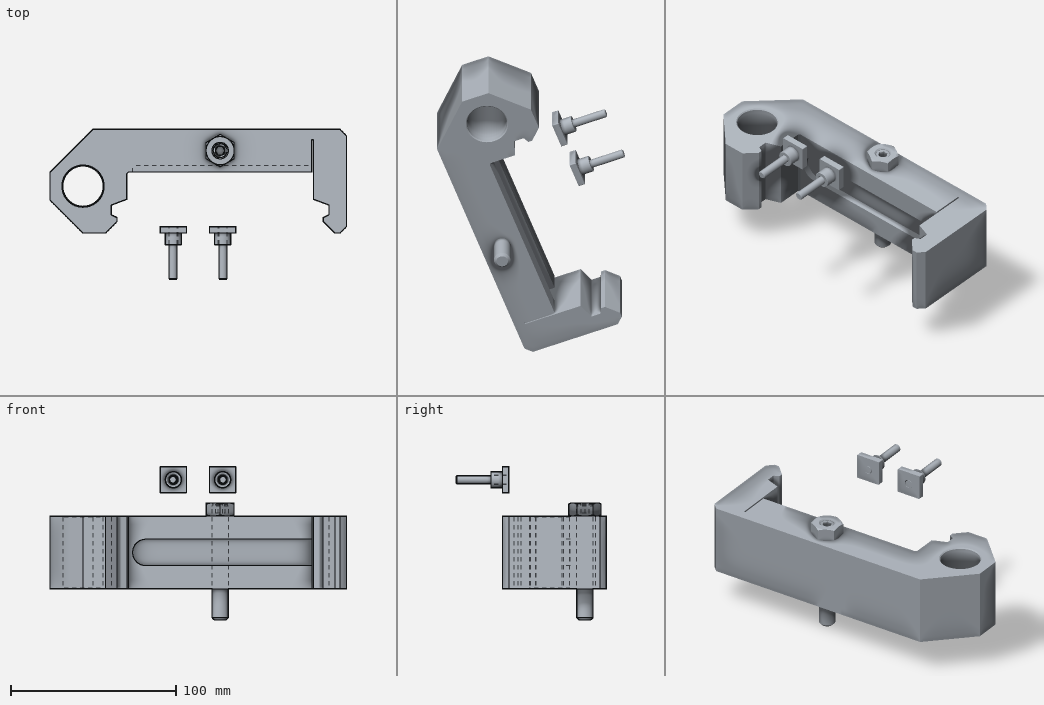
import cadquery as cq
import math


frame_length = 179.5
frame_depth = 63.0
frame_height = 44.0
mid_z = frame_height / 2
arm_depth = 26.0
left_back_chamfer = 26.0
left_front_chamfer = 20.0
right_chamfer = 4.0
inner_corner_chamfer = 1.0

opening_mid_x = 103.0
opening_half = 56.5
recess_half = 65.8
lip_half = 62.4
toe_half = 69.4
shoulder_y = -42.5
recess_back_y = -46.0
recess_front_y = -51.8
lip_back_y = -53.5
lip_front_y = -frame_depth + (toe_half - lip_half)

slit_width = 1.0
slit_end_y = -6.5
arm_end_x = opening_mid_x + opening_half - slit_width

bore_x = 20.0
bore_y = -(left_back_chamfer + frame_depth - left_front_chamfer) / 2
bore_diameter = 24.38
bore_chamfer = 0.6

slot_start_x = 50.0
slot_width = 16.0
slot_depth = 4.0

hexagon_half_angle = 30.0

screw_x = opening_mid_x
screw_y = -arm_depth / 2
screw_diameter = 10.0
screw_length = 70.0
screw_bottom_z = -19.0
screw_point_diameter = 7.0
socket_across_flats = 5.0
socket_depth = 5.0
socket_mouth_diameter = 5.8
thread_minor_diameter = 8.38
nut_across_flats = 17.0
nut_height = 8.0
nut_countersink_diameter = screw_diameter
nut_cone_angle = 30.0

tee_middle_x = 89.6
tee_spacing = 29.8
tee_z = 66.0
tee_head_size = 16.0
tee_head_thickness = 4.0
tee_head_back_y = -59.0
tee_corner_radius = 0.5
tee_boss_diameter = 9.9
tee_boss_length = 7.0
tee_boss_chamfer = 0.2
tee_hole_diameter = 5.5
pin_diameter = 5.0
pin_offset = (tee_hole_diameter - pin_diameter) / 2
pin_end_y = -91.0
pin_chamfer = 0.5


def hexagon_across_corners(across_flats):
    return across_flats / math.cos(math.radians(hexagon_half_angle))


def opening_side(side):
    """Points of one side of the opening, from the arm to the toe; side is -1 (left) or 1 (right)."""
    offsets = [
        (opening_half, shoulder_y),
        (recess_half, recess_back_y),
        (recess_half, recess_front_y),
        (lip_half, lip_back_y),
        (lip_half, lip_front_y),
        (toe_half, -frame_depth),
    ]
    return [(opening_mid_x + side * half, y) for half, y in offsets]


def make_frame():
    inner_left_x = opening_mid_x - opening_half
    inner_right_x = opening_mid_x + opening_half
    outline = [
        (left_back_chamfer, 0),
        (0, -left_back_chamfer),
        (0, -frame_depth + left_front_chamfer),
        (left_front_chamfer, -frame_depth),
        *reversed(opening_side(-1)),
        (inner_left_x, -arm_depth - inner_corner_chamfer),
        (inner_left_x + inner_corner_chamfer, -arm_depth),
        (arm_end_x, -arm_depth),
        (arm_end_x, slit_end_y),
        (inner_right_x, slit_end_y),
        *opening_side(1),
        (frame_length - right_chamfer, -frame_depth),
        (frame_length, -frame_depth + right_chamfer),
        (frame_length, -right_chamfer),
        (frame_length - right_chamfer, 0),
    ]
    frame = cq.Workplane("XY").polyline(outline).close().extrude(frame_height)

    bore_radius = bore_diameter / 2
    mouth_radius = bore_radius + bore_chamfer
    bore_profile = [
        (0, 0),
        (mouth_radius, 0),
        (bore_radius, bore_chamfer),
        (bore_radius, frame_height - bore_chamfer),
        (mouth_radius, frame_height),
        (0, frame_height),
    ]
    bore = cq.Workplane("XZ").polyline(bore_profile).close().revolve(360, (0, 0), (0, 1))
    frame = frame.cut(bore.translate((bore_x, bore_y, 0)))

    slot_radius = slot_width / 2
    slot_floor_y = -arm_depth + slot_depth
    slot = (
        cq.Workplane("XZ", origin=(0, slot_floor_y, 0))
        .moveTo(arm_end_x, mid_z - slot_radius)
        .lineTo(slot_start_x + slot_radius, mid_z - slot_radius)
        .threePointArc((slot_start_x, mid_z), (slot_start_x + slot_radius, mid_z + slot_radius))
        .lineTo(arm_end_x, mid_z + slot_radius)
        .close()
        .extrude(slot_depth)
    )
    screw_hole = (
        cq.Workplane("XY")
        .center(screw_x, screw_y)
        .circle(screw_diameter / 2)
        .extrude(frame_height)
    )
    return frame.cut(slot).cut(screw_hole)


def make_screw_blank():
    """Set screw without its socket: a narrow flat point below and a short chamfer on top."""
    radius = screw_diameter / 2
    point_radius = screw_point_diameter / 2
    top_radius = thread_minor_diameter / 2
    top_z = screw_bottom_z + screw_length
    half_profile = [
        (0, screw_bottom_z),
        (point_radius, screw_bottom_z),
        (radius, screw_bottom_z + radius - point_radius),
        (radius, top_z - (radius - top_radius)),
        (top_radius, top_z),
        (0, top_z),
    ]
    blank = cq.Workplane("XZ").polyline(half_profile).close().revolve(360, (0, 0), (0, 1))
    return blank.translate((screw_x, screw_y, 0))


def make_screw():
    top_z = screw_bottom_z + screw_length
    socket = (
        cq.Workplane("XY", origin=(screw_x, screw_y, top_z))
        .polygon(6, hexagon_across_corners(socket_across_flats))
        .extrude(-socket_depth)
    )
    mouth_radius = socket_mouth_diameter / 2
    flat_radius = socket_across_flats / 2
    mouth_depth = mouth_radius - flat_radius
    mouth_cone = cq.Solid.makeCone(flat_radius, mouth_radius, mouth_depth)
    mouth = cq.Workplane(mouth_cone).translate((screw_x, screw_y, top_z - mouth_depth))
    return make_screw_blank().cut(socket).cut(mouth)


def make_lock_nut():
    across_corners = hexagon_across_corners(nut_across_flats)
    hexagon = (
        cq.Workplane("XY")
        .polygon(6, across_corners)
        .extrude(nut_height)
        .rotate((0, 0, 0), (0, 0, 1), hexagon_half_angle)
    )
    flat_radius = nut_across_flats / 2
    corner_radius = across_corners / 2
    corner_drop = (corner_radius - flat_radius) * math.tan(math.radians(nut_cone_angle))
    hole_radius = thread_minor_diameter / 2
    countersink_radius = nut_countersink_diameter / 2
    countersink_depth = countersink_radius - hole_radius
    turned_profile = [
        (countersink_radius, 0),
        (flat_radius, 0),
        (corner_radius, corner_drop),
        (corner_radius, nut_height - corner_drop),
        (flat_radius, nut_height),
        (countersink_radius, nut_height),
        (hole_radius, nut_height - countersink_depth),
        (hole_radius, countersink_depth),
    ]
    turned = cq.Workplane("XZ").polyline(turned_profile).close().revolve(360, (0, 0), (0, 1))
    nut = hexagon.intersect(turned).translate((screw_x, screw_y, frame_height))
    return nut.cut(make_screw_blank())


def make_tee_nut(center_x):
    head = (
        cq.Workplane("XZ", origin=(center_x, tee_head_back_y, tee_z))
        .rect(tee_head_size, tee_head_size)
        .extrude(tee_head_thickness)
        .edges("|Y")
        .fillet(tee_corner_radius)
    )
    boss = (
        cq.Workplane("XZ", origin=(center_x, tee_head_back_y - tee_head_thickness, tee_z))
        .circle(tee_boss_diameter / 2)
        .extrude(tee_boss_length)
        .faces("<Y")
        .chamfer(tee_boss_chamfer)
    )
    hole = (
        cq.Workplane("XZ", origin=(center_x, tee_head_back_y, tee_z))
        .circle(tee_hole_diameter / 2)
        .extrude(tee_head_thickness + tee_boss_length)
    )
    return head.union(boss).cut(hole)


def make_pin(center_x):
    return (
        cq.Workplane("XZ", origin=(center_x, tee_head_back_y, tee_z))
        .circle(pin_diameter / 2)
        .extrude(tee_head_back_y - pin_end_y)
        .faces("<Y")
        .chamfer(pin_chamfer)
    )


frame = make_frame()
screw = make_screw()
lock_nut = make_lock_nut()
tee_nuts = []
pins = []
for side in (-1, 1):
    tee_x = tee_middle_x + side * tee_spacing / 2
    tee_nuts.append(make_tee_nut(tee_x))
    pins.append(make_pin(tee_x + side * pin_offset))

result = cq.Compound.makeCompound(
    [
        frame.val(),
        screw.val(),
        lock_nut.val(),
        *[tee_nut.val() for tee_nut in tee_nuts],
        *[pin.val() for pin in pins],
    ]
)